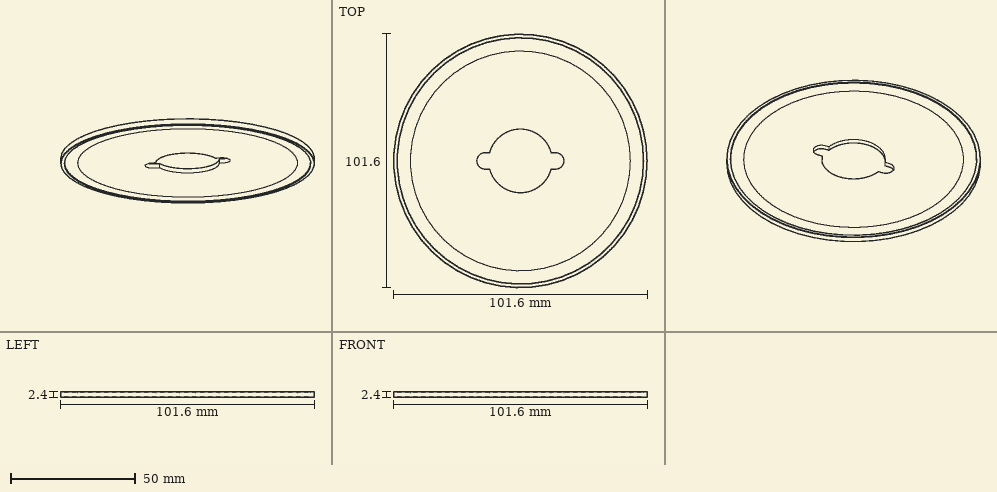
import cadquery as cq

outer_diameter = 101.6
thickness = 2.4
edge_chamfer = 0.2
rim_inner_diameter = 98.8
face_diameter = 98.4

face_recess = 0.3

tongue_inner_diameter = 88.0
cover_thickness = 0.05

bore_diameter = 25.4
key_span = 34.8
key_width = 6.5

half_thickness = thickness / 2
half_plate = half_thickness - face_recess
plate_thickness = 2 * half_plate
half_tongue = half_plate - cover_thickness


def make_ring():
    """Ring centred on Z = 0: a chamfered rim with sloping inner flanks and an inward tongue."""
    upper_profile = [
        (tongue_inner_diameter / 2, half_tongue),
        (face_diameter / 2, half_tongue),
        (face_diameter / 2, half_plate),
        (rim_inner_diameter / 2, half_thickness),
        (outer_diameter / 2 - edge_chamfer, half_thickness),
        (outer_diameter / 2, half_thickness - edge_chamfer),
    ]
    lower_profile = [(radius, -z) for radius, z in reversed(upper_profile)]
    profile = cq.Workplane("XZ").polyline(upper_profile + lower_profile).close()
    return profile.revolve(360, (0, 0, 0), (0, 1, 0))


def make_plate(ring):
    """Plate with a keyed bore, slotted around its edge to receive the ring's tongue."""
    base = cq.Workplane("XY", origin=(0, 0, -half_plate))
    blank = base.circle(face_diameter / 2).extrude(plate_thickness)
    bore = base.circle(bore_diameter / 2).extrude(plate_thickness)
    keyways = base.slot2D(key_span, key_width).extrude(plate_thickness)
    return blank.cut(bore).cut(keyways).cut(ring)


ring = make_ring()
plate = make_plate(ring)

result = cq.Compound.makeCompound([ring.val(), plate.val()])